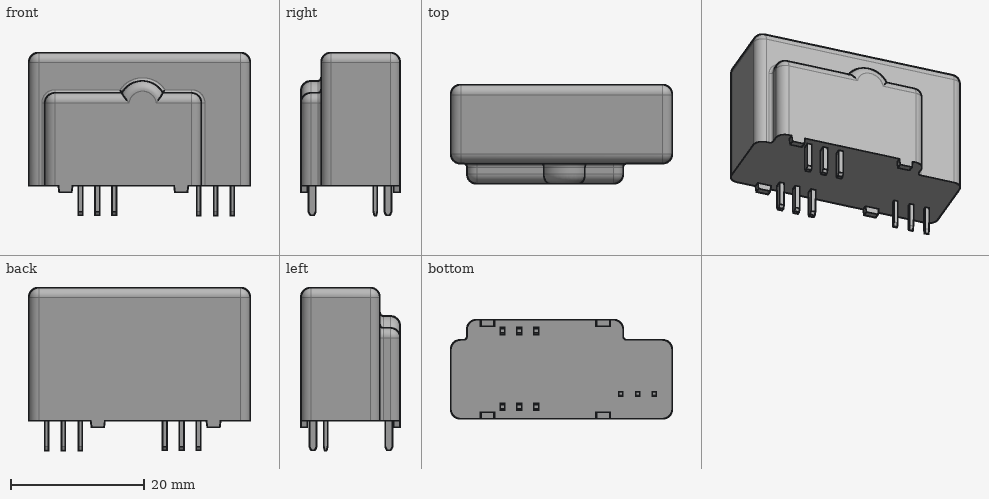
import math

import cadquery as cq


case_width = 33.3
case_depth = 11.9
case_height = 20.0
edge_radius = 1.5

plate_left = -14.22
plate_right = 9.3
plate_height = 13.95
plate_depth = 3.03
foot_radius = 0.5
plate_center_x = (plate_left + plate_right) / 2
plate_width = plate_right - plate_left

hump_x = 0.43
hump_z = 12.2
hump_radius = 3.55

foot_xs = (-11.12, 6.25)
foot_height = 1.0
foot_depth = 1.0
foot_top_width = 2.15
foot_bottom_width = 1.9

pin_pitch = 2.53
pins_per_row = 3
primary_first_x = -8.85
signal_first_x = 8.9
back_row_y = case_depth - 1.83
signal_row_y = back_row_y - 1.9
front_row_y = back_row_y - 11.4

primary_thickness = 0.73
primary_width = 1.1
primary_length = 4.43
primary_tip_width = 0.55
primary_tip_length = 0.5

signal_thickness = 0.6
signal_width = 0.63
signal_length = 4.53
signal_nose_width = 0.35
signal_nose_length = 0.15
signal_taper_length = 0.53


def make_case_block():
    """Main block with every edge rounded except those around the underside."""
    block = cq.Workplane("XY").box(case_width, case_depth, case_height, centered=(True, False, False))
    return block.edges("|Z or >Z").fillet(edge_radius)


def make_plate():
    """Front plate with rounded top corners and a rounded front rim; its underside stays sharp."""
    plate = (
        cq.Workplane("XY")
        .box(plate_width, plate_depth, plate_height, centered=(True, False, False))
        .translate((plate_center_x, -plate_depth, 0))
    )
    return plate.edges("(|Y and >Z) or (<Y and (not <Z))").fillet(edge_radius)


def flare_plate_foot(case):
    """Concave fillet along the sides and top of the plate where it meets the front wall."""
    margin = foot_radius / 2
    foot_region = cq.selectors.BoxSelector(
        (plate_left - margin, -margin, margin),
        (plate_right + margin, margin, plate_height + margin),
    )
    return case.edges(foot_region).fillet(foot_radius)


def make_hump():
    """Disc with a rounded front rim and a flared foot, turned about its own Y axis."""
    diagonal = math.cos(math.radians(45))
    rim_center = (hump_radius - edge_radius, -(plate_depth - edge_radius))
    foot_center = (hump_radius + foot_radius, -foot_radius)
    rim_mid = (rim_center[0] + edge_radius * diagonal, rim_center[1] - edge_radius * diagonal)
    foot_mid = (foot_center[0] - foot_radius * diagonal, foot_center[1] + foot_radius * diagonal)
    return (
        cq.Workplane("XY")
        .lineTo(0, -plate_depth)
        .lineTo(rim_center[0], -plate_depth)
        .threePointArc(rim_mid, (hump_radius, rim_center[1]))
        .lineTo(hump_radius, foot_center[1])
        .threePointArc(foot_mid, (foot_center[0], 0))
        .close()
        .revolve(360, (0, 0, 0), (0, 1, 0))
        .translate((hump_x, 0, hump_z))
    )


def make_foot(center_x, front_y):
    """Tapered stand-off foot hanging below the underside."""
    return (
        cq.Workplane("XZ", origin=(center_x, front_y, 0))
        .moveTo(-foot_top_width / 2, 0)
        .lineTo(-foot_bottom_width / 2, -foot_height)
        .lineTo(foot_bottom_width / 2, -foot_height)
        .lineTo(foot_top_width / 2, 0)
        .close()
        .extrude(-foot_depth)
    )


def make_housing():
    """One-piece case with the front plate, the hump and the four feet."""
    housing = flare_plate_foot(make_case_block().union(make_plate()))
    housing = housing.union(make_hump())
    for center_x in foot_xs:
        for front_y in (-plate_depth, case_depth - foot_depth):
            housing = housing.union(make_foot(center_x, front_y))
    return housing


def make_primary_pin(center_x, center_y):
    """Flat pin with a tapered, blunt tip."""
    shoulder_z = primary_tip_length - primary_length
    return (
        cq.Workplane("YZ", origin=(center_x, center_y, 0))
        .moveTo(-primary_width / 2, 0)
        .lineTo(-primary_width / 2, shoulder_z)
        .lineTo(-primary_tip_width / 2, -primary_length)
        .lineTo(primary_tip_width / 2, -primary_length)
        .lineTo(primary_width / 2, shoulder_z)
        .lineTo(primary_width / 2, 0)
        .close()
        .extrude(primary_thickness / 2, both=True)
    )


def make_signal_pin(center_x, center_y):
    """Slim pin with a tapered tip that ends in a round nose."""
    nose_z = signal_nose_length - signal_length
    shoulder_z = nose_z + signal_taper_length
    return (
        cq.Workplane("YZ", origin=(center_x, center_y, 0))
        .moveTo(-signal_width / 2, 0)
        .lineTo(-signal_width / 2, shoulder_z)
        .lineTo(-signal_nose_width / 2, nose_z)
        .threePointArc((0, -signal_length), (signal_nose_width / 2, nose_z))
        .lineTo(signal_width / 2, shoulder_z)
        .lineTo(signal_width / 2, 0)
        .close()
        .extrude(signal_thickness / 2, both=True)
    )


housing = make_housing()

primary_pins = []
signal_pins = []
for index in range(pins_per_row):
    primary_x = primary_first_x + index * pin_pitch
    signal_x = signal_first_x + index * pin_pitch
    for row_y in (front_row_y, back_row_y):
        primary_pins.append(make_primary_pin(primary_x, row_y).val())
    signal_pins.append(make_signal_pin(signal_x, signal_row_y).val())

result = cq.Compound.makeCompound([housing.solids().val(), *primary_pins, *signal_pins])